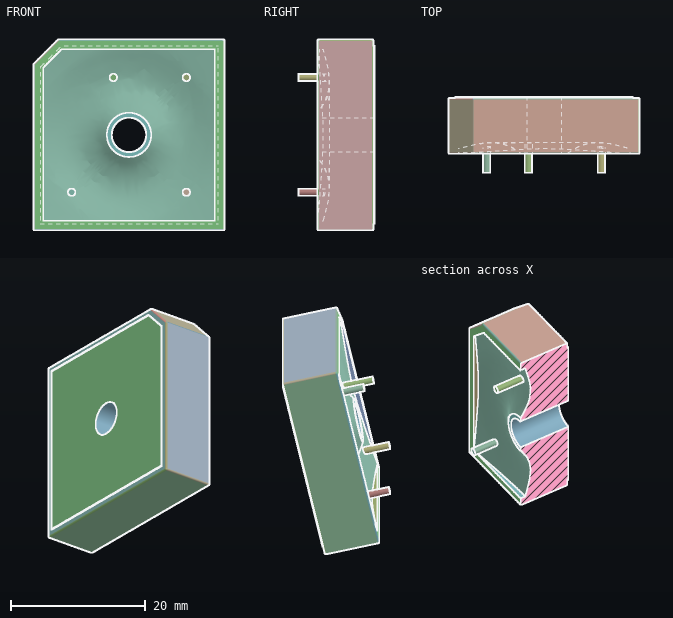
import cadquery as cq
import math

side = 28.4
corner_cut = 3.7
edge_radius = 0.25
body_depth = 8.35
half_side = side / 2

plate_inset = 1.0
plate_thickness = 0.15
plate_corner_cut = corner_cut - plate_inset * (2 - math.sqrt(2))

rim_width = 1.48
rim_corner_cut = 2.73
opening_half = half_side - rim_width
boss_radius = 3.3
dish_low_radius = 7.95
dish_low_depth = 1.75
wall_depth = 0.82

bore_diameter = 5.08

pin_diameter = 1.1
pin_length = 2.8
pin_root_depth = 3.4
pin_offset = 8.52
marked_pin_x = -2.33


def clipped_square(half, cut, y_start, depth):
    """Prism along +Y: a square of half-width half with its upper left corner cut off at 45 degrees."""
    outline = [
        (-half, -half),
        (half, -half),
        (half, half),
        (-half + cut, half),
        (-half, half - cut),
    ]
    return cq.Workplane("XZ", origin=(0, y_start, 0)).polyline(outline).close().extrude(-depth)


def dish():
    """Ring-shaped hollow around the central boss, trimmed to the rim opening."""
    corner_distance = opening_half * math.sqrt(2)
    inner_slope = (dish_low_radius - boss_radius, 2 * dish_low_depth)
    outer_slope = (corner_distance - opening_half, -wall_depth)
    ring = (
        cq.Workplane("XY")
        .moveTo(boss_radius, 0)
        .spline(
            [(dish_low_radius, dish_low_depth), (opening_half, wall_depth), (corner_distance, 0)],
            tangents=[inner_slope, outer_slope],
            includeCurrent=True,
        )
        .close()
        .revolve(360, (0, 0, 0), (0, 1, 0))
    )
    return ring.intersect(clipped_square(opening_half, rim_corner_cut, 0, body_depth))


def pins():
    """Four round terminals, rooted in the solid below the dish."""
    centres = [
        (marked_pin_x, pin_offset),
        (pin_offset, pin_offset),
        (-pin_offset, -pin_offset),
        (pin_offset, -pin_offset),
    ]
    return (
        cq.Workplane("XZ", origin=(0, pin_root_depth, 0))
        .pushPoints(centres)
        .circle(pin_diameter / 2)
        .extrude(pin_root_depth + pin_length)
    )


def bore():
    """Mounting hole right through the body and the rear plate."""
    return cq.Workplane("XZ").circle(bore_diameter / 2).extrude(-(body_depth + plate_thickness))


body = clipped_square(half_side, corner_cut, 0, body_depth).edges().fillet(edge_radius)
rear_plate = clipped_square(half_side - plate_inset, plate_corner_cut, body_depth, plate_thickness)

result = body.union(rear_plate).cut(dish()).union(pins()).cut(bore())